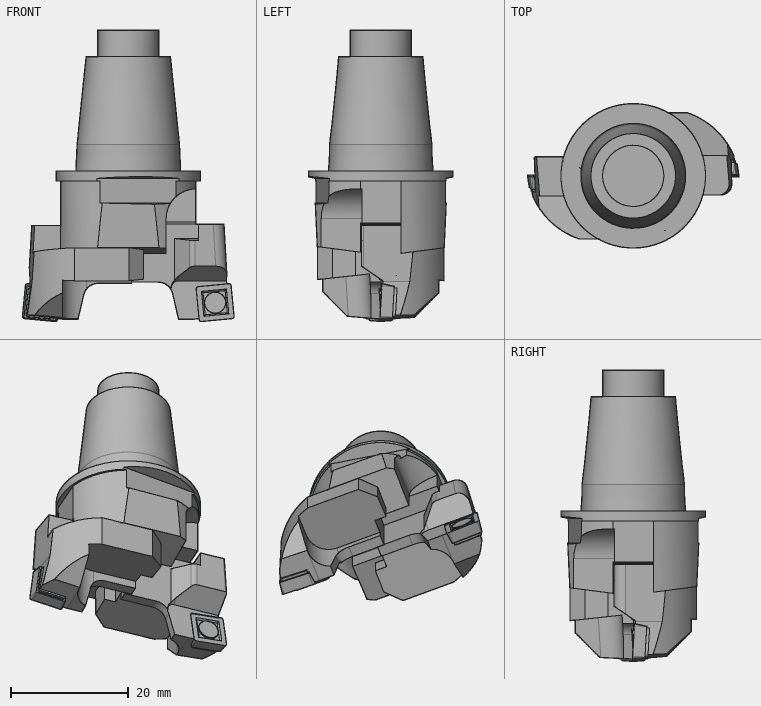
import cadquery as cq
import math


LENGTH = 49.55
PILOT_RADIUS = 10.4 / 2
TAPER_TOP_Z = 45.05
TAPER_TOP_RADIUS = 7.2
TAPER_BASE_Z = 30.15
TAPER_BASE_RADIUS = 8.7
COLLAR_RADIUS = 8.9

FLANGE_RADIUS = 24.6 / 2
FLANGE_TOP_Z = 25.6
FLANGE_BOTTOM_Z = 23.9
BARREL_RADIUS = 12.0
BARREL_FLAT_X = 11.5

UPPER_FLAT_DISTANCE = 10.05
UPPER_FLAT_ANGLE = 9.6
UPPER_FLAT_TOP_Z = 24.35
UPPER_FLAT_BOTTOM_Z = 20.15
UPPER_FLAT_RUNOUT = 8.0

LOWER_FLAT_TOP_Y = 11.15
LOWER_FLAT_BOTTOM_Y = 10.75

RECESS_X = 6.45
RECESS_Y = 3.15
RECESS_RADIUS = BARREL_FLAT_X - RECESS_X
RECESS_TOP_Z = 22.55

SLOT_HALF_WIDTH = 3.4
SLOT_ROOF_Z = 16.75
SEAT_INNER_Z = 11.6
SEAT_SLOPE = 0.13

AXIAL_STEP = 0.2

CARTRIDGE_GAP = 0.4
CARTRIDGE_TOP_Z = SLOT_ROOF_Z - CARTRIDGE_GAP
TONGUE_END_X = 0.6
WING_FACE_Y = -10.75
WING_CORNER_X = -9.15
WING_ARC_MIDDLE = (-13.6, -8.25)
WING_ARC_END = (-17.3, -2.95)
WING_CHAMFER = 2.55
WING_END_X = 2.65
WING_INNER_Y = -4.25
WING_BOTTOM_Z = 6.95
WING_BOTTOM_SLOPE = 0.11

FLANK_TOP_X = -15.9
FLANK_PLAN_SLOPE = 0.08
FLANK_UPPER_DRAFT = 0.058
FLANK_LOWER_DRAFT = 0.12
FLANK_BREAK_Z = 6.8
LEFT_CORNER_RADIUS = 0.3
RIGHT_CORNER_RADIUS = 1.85

ARCH_ROOF_Z = 6.5
ARCH_TOP_X = 7.1
ARCH_BOTTOM_X = 8.6
ARCH_FILLET = 2.5
ARM_BOTTOM_Z = 0.4
ARM_HEEL_Y = -5.7
ARM_HEEL_Z = 0.7
ARM_INNER_X = -11.2
FLUTE_Y = -1.85
FLUTE_RADIUS = 4.05
AXIAL_RAKE = 3.5

BLOCK_FACE_Y = 3.25
BLOCK_INNER_X = -11.95
RAMP_FOOT_X = -7.9
RAMP_SHOULDER_X = -10.75
RAMP_SHOULDER_RADIUS = 2.5 / 2
RAMP_TOP_Z = 13.8
RAMP_TOP_RISE = 0.35
OVERHANG_ROOT_Z = 6.95
OVERHANG_SLOPE = 0.68
GULLET_END_X = -7.3
GULLET_END_RADIUS = 2.5 / 2

INSERT_X = -14.75
INSERT_Z = 3.2
INSERT_SIDE = 6.0
INSERT_CORNER = 0.4
INSERT_THICKNESS = 2.15
INSERT_RELIEF = 8.0
INSERT_BASE_INSET = 0.55
INSERT_BASE_DEPTH = 0.5
INSERT_ROLL = 5.5
INSERT_PROUD = 0.15
POCKET_SIDE = 4.25
POCKET_DEPTH = 0.25
POCKET_BEVEL = 45.0
BUTTON_DIAMETER = 3.55

FAR = 29.75
BELOW = -0.5
SELECT_MARGIN = 0.05


def turned(shape, angle):
    """The shape turned about the spindle axis."""
    return cq.Workplane(shape.val().moved(cq.Location((0, 0, 0), (0, 0, 1), angle)))


def half_turn(shape):
    """The shape turned to the opposite side of the spindle axis."""
    return turned(shape, 180)


def prism_x(points, x_start, x_end):
    """Prism along X over an outline of (y, z) points."""
    return cq.Workplane("YZ", origin=(x_start, 0, 0)).polyline(points).close().extrude(x_end - x_start)


def prism_z(points, z_start, z_end):
    """Prism along Z over an outline of (x, y) points."""
    return cq.Workplane("XY", origin=(0, 0, z_start)).polyline(points).close().extrude(z_end - z_start)



def turned_blank():
    """Shank, flange and barrel as one turned profile."""
    profile = [
        (0, 0),
        (BARREL_RADIUS, 0),
        (BARREL_RADIUS, FLANGE_BOTTOM_Z),
        (FLANGE_RADIUS, FLANGE_BOTTOM_Z),
        (FLANGE_RADIUS, FLANGE_TOP_Z),
        (COLLAR_RADIUS, FLANGE_TOP_Z),
        (TAPER_BASE_RADIUS, TAPER_BASE_Z),
        (TAPER_TOP_RADIUS, TAPER_TOP_Z),
        (PILOT_RADIUS, TAPER_TOP_Z),
        (PILOT_RADIUS, LENGTH),
        (0, LENGTH),
    ]
    return cq.Workplane("XZ").polyline(profile).close().revolve(360, (0, 0, 0), (0, 1, 0))


def barrel_flat_cut():
    """Flat on the -X side of the barrel, below the flange."""
    outline = [(-FAR, -FAR), (-BARREL_FLAT_X, -FAR), (-BARREL_FLAT_X, FAR), (-FAR, FAR)]
    return prism_z(outline, BELOW, FLANGE_BOTTOM_Z)


def upper_flat_cut():
    """Inclined flat on the -Y side, running out under the flange."""
    rise = FAR * math.tan(math.radians(UPPER_FLAT_RUNOUT))
    inner_y = -UPPER_FLAT_DISTANCE
    outer_y = inner_y - FAR
    cut = prism_x(
        [
            (inner_y, UPPER_FLAT_BOTTOM_Z),
            (inner_y, UPPER_FLAT_TOP_Z),
            (outer_y, UPPER_FLAT_TOP_Z + rise),
            (outer_y, UPPER_FLAT_BOTTOM_Z - rise),
        ],
        -FAR,
        FAR,
    )
    return cut.rotate((0, 0, 0), (0, 0, 1), UPPER_FLAT_ANGLE)


def lower_flat_cut():
    """Slightly drafted flat on the -Y side, below the inclined flat."""
    bottom_z = SEAT_INNER_Z
    return prism_x(
        [
            (-LOWER_FLAT_BOTTOM_Y, bottom_z),
            (-LOWER_FLAT_TOP_Y, UPPER_FLAT_BOTTOM_Z),
            (-FAR, UPPER_FLAT_BOTTOM_Z),
            (-FAR, bottom_z),
        ],
        -FAR,
        FAR,
    )


def recess_cut():
    """Recess at the +X, -Y corner with a rounded top."""
    arc_start_z = RECESS_TOP_Z - RECESS_RADIUS
    diagonal = RECESS_RADIUS * math.sqrt(0.5)
    return (
        cq.Workplane("XZ", origin=(0, -RECESS_Y, 0))
        .moveTo(RECESS_X, 0)
        .lineTo(RECESS_X, arc_start_z)
        .threePointArc(
            (BARREL_FLAT_X - diagonal, arc_start_z + diagonal), (BARREL_FLAT_X, RECESS_TOP_Z)
        )
        .lineTo(FAR, RECESS_TOP_Z)
        .lineTo(FAR, 0)
        .close()
        .extrude(FAR)
    )


def seat_cut():
    """Everything below the two sloping seats; they fall towards the axis."""
    rise = (FAR - SLOT_HALF_WIDTH) * SEAT_SLOPE
    stepped_z = SEAT_INNER_Z + AXIAL_STEP
    return prism_x(
        [
            (-FAR, SEAT_INNER_Z + rise),
            (-SLOT_HALF_WIDTH, SEAT_INNER_Z),
            (SLOT_HALF_WIDTH, stepped_z),
            (FAR, stepped_z + rise),
            (FAR, BELOW),
            (-FAR, BELOW),
        ],
        -FAR,
        FAR,
    )


def slot_cut():
    """Cross slot along X, its roof stepped up on the +X side."""
    roof = [
        (-FAR, 0),
        (-FAR, SLOT_ROOF_Z),
        (0, SLOT_ROOF_Z),
        (0, SLOT_ROOF_Z + AXIAL_STEP),
        (FAR, SLOT_ROOF_Z + AXIAL_STEP),
        (FAR, 0),
    ]
    return cq.Workplane("XZ").polyline(roof).close().extrude(SLOT_HALF_WIDTH, both=True)


def make_head():
    head = turned_blank()
    for cut in (barrel_flat_cut(), upper_flat_cut(), lower_flat_cut(), recess_cut()):
        head = head.cut(cut).cut(half_turn(cut))
    return head.cut(seat_cut()).cut(slot_cut())



def tongue_and_wing(step):
    """Tongue, wing and arm as one plan outline; the two tongues lie side by side at Y = 0."""
    return (
        cq.Workplane("XY")
        .moveTo(-FAR, 0)
        .lineTo(TONGUE_END_X, 0)
        .lineTo(TONGUE_END_X, WING_INNER_Y)
        .lineTo(WING_END_X, WING_INNER_Y)
        .lineTo(WING_END_X, WING_FACE_Y + WING_CHAMFER)
        .lineTo(WING_END_X - WING_CHAMFER, WING_FACE_Y)
        .lineTo(WING_CORNER_X, WING_FACE_Y)
        .threePointArc(WING_ARC_MIDDLE, WING_ARC_END)
        .lineTo(-FAR, WING_ARC_END[1])
        .close()
        .extrude(CARTRIDGE_TOP_Z + step)
    )


def block(step):
    """Block on the +Y side of the tongue, over the insert."""
    outline = [(-FAR, 0), (BLOCK_INNER_X, 0), (BLOCK_INNER_X, BLOCK_FACE_Y), (-FAR, BLOCK_FACE_Y)]
    return prism_z(outline, 0, CARTRIDGE_TOP_Z + step)


def ramp():
    """Ramp rising from the tongue to the block, with a rounded shoulder and a sloping top."""
    outline = [
        (RAMP_FOOT_X, 0),
        (RAMP_SHOULDER_X, BLOCK_FACE_Y),
        (BLOCK_INNER_X, BLOCK_FACE_Y),
        (BLOCK_INNER_X, 0),
    ]
    shoulder = cq.selectors.NearestToPointSelector((RAMP_SHOULDER_X, BLOCK_FACE_Y, CARTRIDGE_TOP_Z / 2))
    wedge = prism_z(outline, 0, CARTRIDGE_TOP_Z).edges("|Z").edges(shoulder).fillet(RAMP_SHOULDER_RADIUS)
    under_top = prism_x(
        [(0, 0), (0, RAMP_TOP_Z + RAMP_TOP_RISE), (BLOCK_FACE_Y, RAMP_TOP_Z), (BLOCK_FACE_Y, 0)],
        -FAR,
        0,
    )
    return wedge.intersect(under_top)


def flank_keep(step, corner_radius):
    """Space inside the outer flank, with its corner at the block face rounded."""
    top_z = CARTRIDGE_TOP_Z + step
    break_x = FLANK_TOP_X - FLANK_UPPER_DRAFT * (CARTRIDGE_TOP_Z - FLANK_BREAK_Z)
    bottom_x = break_x - FLANK_LOWER_DRAFT * FLANK_BREAK_Z
    plan_angle = math.degrees(math.atan(FLANK_PLAN_SLOPE))
    flank = (
        cq.Workplane("XZ", origin=(0, FAR, 0))
        .polyline([(FAR, 0), (FAR, top_z), (FLANK_TOP_X, top_z), (break_x, FLANK_BREAK_Z), (bottom_x, 0)])
        .close()
        .extrude(2 * FAR)
        .rotate((FLANK_TOP_X, -SLOT_HALF_WIDTH, 0), (FLANK_TOP_X, -SLOT_HALF_WIDTH, 1), plan_angle)
    )
    behind_face = cq.Workplane("XY").box(2 * FAR, FAR, 2 * FAR).translate((0, BLOCK_FACE_Y - FAR / 2, 0))
    corner = cq.selectors.BoxSelector(
        (-FAR, BLOCK_FACE_Y - SELECT_MARGIN, BELOW), (BLOCK_INNER_X, BLOCK_FACE_Y + SELECT_MARGIN, FAR)
    )
    return flank.intersect(behind_face).edges(corner).edges("not |X").fillet(corner_radius)


def wing_top_cut(step):
    """Space above the wing's sloping top, beside the tongue."""
    inner_z = SEAT_INNER_Z + step
    rise = (FAR - SLOT_HALF_WIDTH) * SEAT_SLOPE
    return prism_x(
        [(-SLOT_HALF_WIDTH, inner_z), (-SLOT_HALF_WIDTH, FAR), (-FAR, FAR), (-FAR, inner_z + rise)],
        -FAR,
        FAR,
    )


def flute_cut(step):
    """Hollow behind the arm, under the wing, leaning with the axial rake."""
    wing_bottom = WING_BOTTOM_Z + step
    rise = -WING_FACE_Y * WING_BOTTOM_SLOPE
    hollow = prism_z(
        [(ARM_INNER_X, FLUTE_Y), (FAR, FLUTE_Y), (FAR, -FAR), (ARM_INNER_X, -FAR)], -FAR, FAR
    )
    hollow = hollow.edges(cq.selectors.NearestToPointSelector((ARM_INNER_X, FLUTE_Y, 0))).fillet(FLUTE_RADIUS)
    hollow = hollow.rotate((0, FLUTE_Y, wing_bottom), (1, FLUTE_Y, wing_bottom), AXIAL_RAKE)
    below_wing = prism_x(
        [
            (0, wing_bottom + rise),
            (2 * WING_FACE_Y, wing_bottom - rise),
            (2 * WING_FACE_Y, BELOW),
            (0, BELOW),
        ],
        -FAR,
        FAR,
    )
    return hollow.intersect(below_wing)


def arch_cut(step):
    """Arch between the two arms."""
    roof_z = ARCH_ROOF_Z + step
    arch = (
        cq.Workplane("XZ")
        .polyline(
            [
                (-ARCH_BOTTOM_X, 0),
                (-ARCH_TOP_X, roof_z),
                (ARCH_TOP_X, roof_z),
                (ARCH_BOTTOM_X, 0),
            ]
        )
        .close()
        .extrude(FAR, both=True)
    )
    return arch.edges("|Y").edges(">Z").fillet(ARCH_FILLET)


def under_arm(step, x_start, x_end):
    """Space under a stretch of the arm: a shallow bottom slope and a 45 degree heel."""
    heel_run = ARM_HEEL_Y - WING_FACE_Y
    heel_z = ARM_HEEL_Z + step
    return prism_x(
        [
            (FAR, ARM_BOTTOM_Z),
            (0, ARM_BOTTOM_Z),
            (ARM_HEEL_Y, heel_z),
            (WING_FACE_Y, heel_z + heel_run),
            (-FAR, heel_z + heel_run),
            (-FAR, -FAR),
            (FAR, -FAR),
        ],
        x_start,
        x_end,
    )


def heel_cut(step):
    """Space under the whole arm; outside the flute it climbs outwards, parallel to the insert."""
    pivot = (ARM_INNER_X, 0, ARM_BOTTOM_Z)
    pivot_end = (ARM_INNER_X, 1, ARM_BOTTOM_Z)
    climbing = under_arm(step, -FAR, ARM_INNER_X).rotate(pivot, pivot_end, INSERT_ROLL)
    return climbing.union(under_arm(step, -FAR, -ARCH_TOP_X))


def seat_face_y(z):
    """Y of the face around the insert, which leans with the axial rake."""
    return (INSERT_Z - z) * math.tan(math.radians(AXIAL_RAKE)) - INSERT_PROUD


def gullet_cut():
    """Chip space in front of the insert, under the overhanging block."""
    root_y = seat_face_y(OVERHANG_ROOT_Z)
    gullet = prism_x(
        [
            (seat_face_y(BELOW), BELOW),
            (root_y, OVERHANG_ROOT_Z),
            (FAR, OVERHANG_ROOT_Z + OVERHANG_SLOPE * (FAR - root_y)),
            (FAR, BELOW),
        ],
        -FAR,
        GULLET_END_X,
    )
    inner_end = cq.selectors.NearestToPointSelector(
        (GULLET_END_X, FAR / 2, OVERHANG_ROOT_Z + OVERHANG_SLOPE * FAR / 2)
    )
    return gullet.edges(inner_end).fillet(GULLET_END_RADIUS)


def make_cartridge(step, corner_radius):
    cartridge = tongue_and_wing(step).union(block(step)).union(ramp())
    cartridge = cartridge.intersect(flank_keep(step, corner_radius))
    for cut in (wing_top_cut(step), flute_cut(step), arch_cut(step), heel_cut(step), gullet_cut()):
        cartridge = cartridge.cut(cut)
    return cartridge.cut(seated(flat_insert_blank()))



def seated(shape):
    """The shape turned from lying flat to the insert seat: rolled, and leaned by the axial rake."""
    rake = math.radians(AXIAL_RAKE)
    seat = cq.Plane(
        origin=(INSERT_X, 0, INSERT_Z), xDir=(-1, 0, 0), normal=(0, math.cos(rake), math.sin(rake))
    )
    return cq.Workplane(shape.val().moved(cq.Location(seat.rotated((0, 0, INSERT_ROLL)))))


def flat_insert_blank():
    """Square plate with rounded corners and relieved sides, on a smaller base; rake face at Z = 0."""
    base_side = INSERT_SIDE - 2 * INSERT_BASE_INSET
    outline = cq.Sketch().rect(INSERT_SIDE, INSERT_SIDE).vertices().fillet(INSERT_CORNER)
    base_outline = cq.Sketch().rect(base_side, base_side).vertices().fillet(INSERT_CORNER)
    plate = cq.Workplane("XY").placeSketch(outline).extrude(-INSERT_THICKNESS, taper=INSERT_RELIEF)
    base = cq.Workplane("XY").placeSketch(base_outline).extrude(-INSERT_THICKNESS - INSERT_BASE_DEPTH)
    return plate.union(base)


def make_insert():
    """Insert with a bevelled square pocket in its rake face around a round button."""
    pocket = cq.Workplane("XY").rect(POCKET_SIDE, POCKET_SIDE).extrude(-POCKET_DEPTH, taper=POCKET_BEVEL)
    button = cq.Workplane("XY").circle(BUTTON_DIAMETER / 2).extrude(-POCKET_DEPTH)
    return seated(flat_insert_blank().cut(pocket.cut(button)))



head = make_head()
left_cartridge = make_cartridge(step=0.0, corner_radius=LEFT_CORNER_RADIUS)
right_cartridge = half_turn(make_cartridge(step=AXIAL_STEP, corner_radius=RIGHT_CORNER_RADIUS))
inserts = [turned(make_insert(), angle) for angle in (0, 180)]

result = cq.Compound.makeCompound(
    [
        *head.solids().vals(),
        *left_cartridge.solids().vals(),
        *right_cartridge.solids().vals(),
        *[insert.solids().val() for insert in inserts],
    ]
)